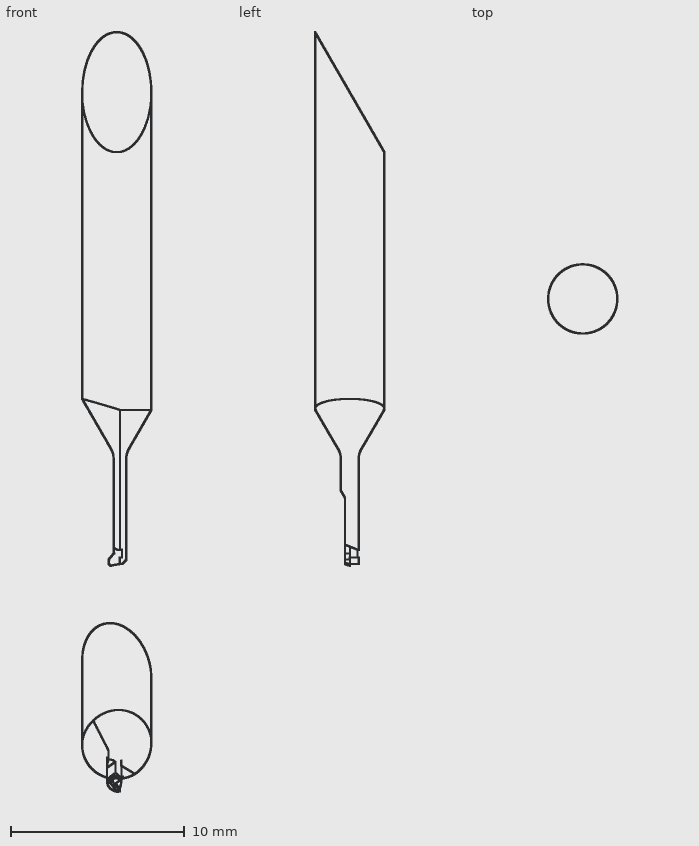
import cadquery as cq
import math

total_height = 30.7
shank_radius = 2.0
end_slant_angle = 30.0

neck_radius = 0.55
neck_offset = 0.37
cone_top = 8.97
cone_angle = 30.0
cone_fillet = 1.17
neck_bottom = 0.1
corner_chamfer = 0.25
corner_x = neck_radius

back_y = 0.28
relief_top = 4.4
relief_ramp_bottom = 3.9

rake_y = 0.0
seat_upper_x = 0.3
seat_lower_x = 0.15
seat_step_z = 0.5
roof_z = 1.1
roof_slope = 0.4
tip_side_x = neck_offset - neck_radius
tip_shoulder_z = 0.7
tooth_x = -0.45
tooth_top_z = 0.37
tooth_bottom_z = 0.1
point_x = -0.37
side_clearance = 0.3
clearance_rise = 0.1

margin = 3.07


def tapered_section(axis_x):
    """Round neck opening through a filleted cone, about a vertical axis."""
    slope = math.tan(math.radians(cone_angle))
    vertex_z = cone_top - (shank_radius - neck_radius) / slope
    tangent = cone_fillet * math.tan(math.radians(cone_angle / 2))
    fillet_centre_x = neck_radius + cone_fillet
    fillet_bottom_z = vertex_z - tangent
    fillet_end = (
        fillet_centre_x - cone_fillet * math.cos(math.radians(cone_angle)),
        fillet_bottom_z + cone_fillet * math.sin(math.radians(cone_angle)),
    )
    fillet_middle = (
        fillet_centre_x - cone_fillet * math.cos(math.radians(cone_angle / 2)),
        fillet_bottom_z + cone_fillet * math.sin(math.radians(cone_angle / 2)),
    )
    outer_radius = shank_radius + margin
    outer_z = cone_top + margin / slope
    top_z = total_height + margin
    profile = (
        cq.Workplane("XZ")
        .moveTo(0, neck_bottom)
        .lineTo(neck_radius, neck_bottom)
        .lineTo(neck_radius, fillet_bottom_z)
        .threePointArc(fillet_middle, fillet_end)
        .lineTo(outer_radius, outer_z)
        .lineTo(outer_radius, top_z)
        .lineTo(0, top_z)
        .close()
    )
    return profile.revolve(360, (0, 0, 0), (0, 1, 0)).translate((axis_x, 0, 0))


def end_slant_cutter():
    """Wedge above the slanted end, whose highest edge is at the back."""
    drop = 2 * shank_radius / math.tan(math.radians(end_slant_angle))
    return (
        cq.Workplane("YZ")
        .polyline([
            (shank_radius, total_height),
            (-shank_radius, total_height - drop),
            (-shank_radius - margin, total_height - drop),
            (-shank_radius - margin, total_height + margin),
            (shank_radius, total_height + margin),
        ])
        .close()
        .extrude(margin, both=True)
    )


def back_relief_cutter():
    """Removes the back of the lower neck down to a flat with a ramp."""
    return (
        cq.Workplane("YZ")
        .polyline([
            (back_y, -margin),
            (back_y, relief_ramp_bottom),
            (neck_radius, relief_top),
            (neck_radius + margin, relief_top),
            (neck_radius + margin, -margin),
        ])
        .close()
        .extrude(margin, both=True)
    )


def corner_cutter():
    """Bevels the lower corner of the neck on the side away from the tooth."""
    return (
        cq.Workplane("XZ")
        .polyline([
            (corner_x - corner_chamfer, neck_bottom),
            (corner_x, neck_bottom + corner_chamfer),
            (corner_x, neck_bottom),
        ])
        .close()
        .extrude(margin, both=True)
    )


def below_roof():
    """Space under the sloping seat roof."""
    return (
        cq.Workplane("YZ")
        .polyline([
            (-margin, -margin),
            (back_y, -margin),
            (back_y, roof_z + roof_slope * back_y),
            (-margin, roof_z - roof_slope * margin),
        ])
        .close()
        .extrude(margin, both=True)
    )


def seat_cutter():
    """Stepped seat, open at the front, left, bottom and back of the neck."""
    steps = (
        cq.Workplane("XZ")
        .polyline([
            (-margin, -margin),
            (seat_lower_x, -margin),
            (seat_lower_x, seat_step_z),
            (seat_upper_x, seat_step_z),
            (seat_upper_x, margin),
            (-margin, margin),
        ])
        .close()
        .extrude(margin, both=True)
    )
    return steps.intersect(below_roof())


def make_shank():
    cylinder = cq.Workplane("XY").circle(shank_radius).extrude(total_height)
    body = cylinder.intersect(tapered_section(0))
    body = body.intersect(tapered_section(neck_offset))
    for cutter in (end_slant_cutter(), back_relief_cutter(), corner_cutter(), seat_cutter()):
        body = body.cut(cutter)
    return body


def tip_outline(side_inset, rise):
    """Tip outline in XZ with its left side and underside drawn in."""
    return [
        (tip_side_x + side_inset, margin),
        (tip_side_x + side_inset, tip_shoulder_z),
        (tooth_x + side_inset, tooth_top_z),
        (tooth_x + side_inset, tooth_bottom_z + rise),
        (point_x + side_inset, rise),
        (seat_lower_x, neck_bottom + rise),
        (seat_lower_x, seat_step_z),
        (seat_upper_x, seat_step_z),
        (seat_upper_x, margin),
    ]


def make_cutting_tip():
    """Hooked tip filling the back of the seat, narrowing from its front face to the back."""
    plate = (
        cq.Workplane("XZ", origin=(0, rake_y, 0))
        .polyline(tip_outline(0, 0))
        .close()
        .workplane(offset=rake_y - back_y)
        .polyline(tip_outline(side_clearance, clearance_rise))
        .close()
        .loft(ruled=True)
    )
    return plate.intersect(below_roof())


shank = make_shank()
cutting_tip = make_cutting_tip()
result = cq.Compound.makeCompound([shank.val(), cutting_tip.val()])